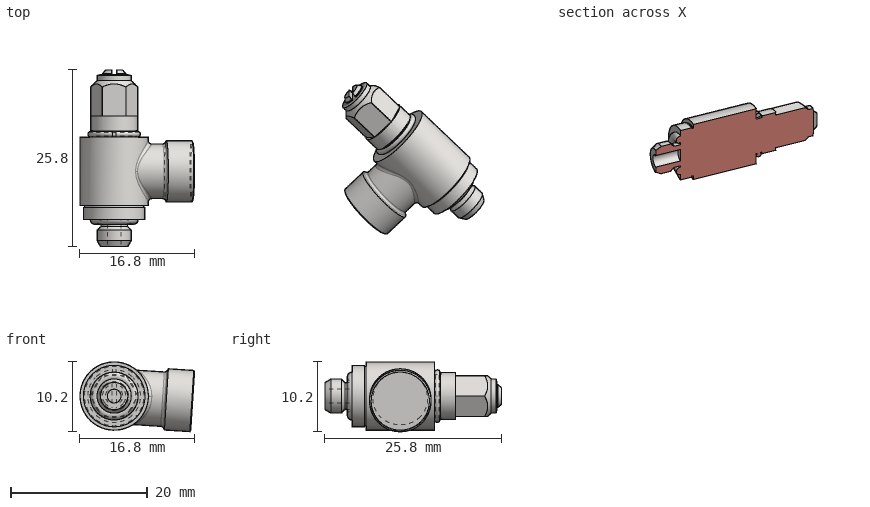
import cadquery as cq
import math

body_radius = 5.0
body_length = 10.0
body_back = body_length / 2
body_front = -body_length / 2

undercut_radius = 4.35
undercut_length = 0.25
flange_radius = 4.5
flange_front = -7.05
seal_tube_radius = 0.7
seal_outer_radius = 3.5
neck_radius = 1.95
neck_front = -8.05
thread_radius = 2.5
tip_radius = 2.0
tip_front = -11.0
tip_taper_length = (thread_radius - tip_radius) * math.sqrt(3)
bore_radius = 1.0
bore_depth = flange_front - tip_front

groove_radius = 3.15
groove_width = 0.9
snap_ring_tube_radius = 0.4
snap_ring_outer_radius = 3.85
snap_ring_gap = 0.5
collar_radius = 3.45
collar_front = body_back + groove_width
hex_front = 8.1
hex_across_flats = 6.0
hex_back = 13.27
nut_lip_radius = 2.5
nut_lip_back = 14.0
nut_crown_radius = 2.0
nut_crown_back = 14.12
screw_radius = 1.7
screw_end_radius = 1.25
screw_back = 14.8
screw_bevel_length = 0.52
screw_slot_width = 0.7
screw_slot_depth = screw_back - nut_crown_back

branch_tilt = 3.7
branch_neck_radius = 4.0
branch_head_radius = 4.5
branch_head_start = 7.65
branch_end = 11.5
branch_bevel_angle = math.radians(30)
branch_bevel_height = 0.25
branch_bevel_length = branch_bevel_height * math.tan(branch_bevel_angle)
branch_root_fillet = 0.5
branch_step_fillet = 0.5


def revolve_about_y(profile):
    """Turn a closed (radius, y) profile about the Y axis."""
    return cq.Workplane("XY").polyline(profile).close().revolve(360, (0, 0, 0), (0, 1, 0))


def ring_about_y(outer_radius, tube_radius, y):
    """Round-section ring about the Y axis."""
    centre_radius = outer_radius - tube_radius
    section_plane = cq.Plane(origin=(centre_radius, y, 0), xDir=(-1, 0, 0), normal=(0, 0, 1))
    section = cq.Workplane(section_plane).circle(tube_radius)
    return section.revolve(360, (centre_radius, 0, 0), (centre_radius, 1, 0))


def make_branch():
    bevel_radius = branch_head_radius - branch_bevel_height
    bevel_start = branch_head_start - branch_bevel_length
    fillet_start = bevel_start - branch_step_fillet * math.cos(branch_bevel_angle)
    profile = (
        cq.Workplane("XZ")
        .lineTo(0, branch_neck_radius)
        .lineTo(fillet_start, branch_neck_radius)
        .radiusArc((bevel_start, bevel_radius), -branch_step_fillet)
        .lineTo(branch_head_start, branch_head_radius)
        .lineTo(branch_end - branch_bevel_length, branch_head_radius)
        .lineTo(branch_end, bevel_radius)
        .lineTo(branch_end, 0)
        .close()
    )
    branch = profile.revolve(360, (0, 0, 0), (1, 0, 0))
    return branch.rotate((0, 0, 0), (0, 1, 0), branch_tilt)


def make_body_with_branch():
    body = cq.Workplane("XZ").circle(body_radius).extrude(body_length / 2, both=True)
    tee = body.union(make_branch())
    root_zone = cq.selectors.BoxSelector(
        (0, -branch_head_radius, -branch_head_radius),
        (body_radius + branch_root_fillet, branch_head_radius, branch_head_radius),
        boundingbox=True,
    )
    return tee.edges(root_zone).fillet(branch_root_fillet)


def make_threaded_end():
    flange_back = body_front - undercut_length
    profile = [
        (0, body_front),
        (undercut_radius, body_front),
        (undercut_radius, flange_back),
        (flange_radius, flange_back),
        (flange_radius, flange_front),
        (neck_radius, flange_front),
        (neck_radius, neck_front),
        (thread_radius, neck_front - (thread_radius - neck_radius)),
        (thread_radius, tip_front + tip_taper_length),
        (tip_radius, tip_front),
        (0, tip_front),
    ]
    seal = ring_about_y(seal_outer_radius, seal_tube_radius, flange_front)
    bore = cq.Workplane("XZ").workplane(offset=-tip_front).circle(bore_radius).extrude(-bore_depth)
    return revolve_about_y(profile).union(seal).cut(bore)


def make_snap_ring():
    ring_y = body_back + snap_ring_tube_radius
    ring = ring_about_y(snap_ring_outer_radius, snap_ring_tube_radius, ring_y)
    gap = cq.Workplane("XY").box(
        snap_ring_gap, 2 * collar_front, 2 * body_radius, centered=(True, True, False)
    )
    return ring.cut(gap)


def make_hex_nut():
    corner_diameter = hex_across_flats / math.cos(math.pi / 6)
    hexagon = cq.Workplane("XZ").workplane(offset=-hex_front).polygon(6, corner_diameter)
    hexagon = hexagon.extrude(hex_front - hex_back)
    bevel_length = collar_radius - nut_lip_radius
    turned_blank = revolve_about_y([
        (0, hex_front),
        (collar_radius, hex_front),
        (collar_radius, hex_back - bevel_length),
        (nut_lip_radius, hex_back),
        (0, hex_back),
    ])
    return hexagon.intersect(turned_blank)


def make_adjusting_end():
    stem = revolve_about_y([
        (0, body_back),
        (groove_radius, body_back),
        (groove_radius, collar_front),
        (collar_radius, collar_front),
        (collar_radius, hex_front),
        (nut_lip_radius, hex_front),
        (nut_lip_radius, nut_lip_back),
        (nut_crown_radius, nut_crown_back),
        (screw_radius, nut_crown_back),
        (screw_radius, screw_back - screw_bevel_length),
        (screw_end_radius, screw_back),
        (0, screw_back),
    ])
    slot = cq.Workplane("XY").box(screw_slot_width, screw_slot_depth, 2 * screw_radius)
    slot = slot.translate((0, screw_back - screw_slot_depth / 2, 0))
    return stem.union(make_hex_nut()).union(make_snap_ring()).cut(slot)


result = make_body_with_branch().union(make_threaded_end()).union(make_adjusting_end())